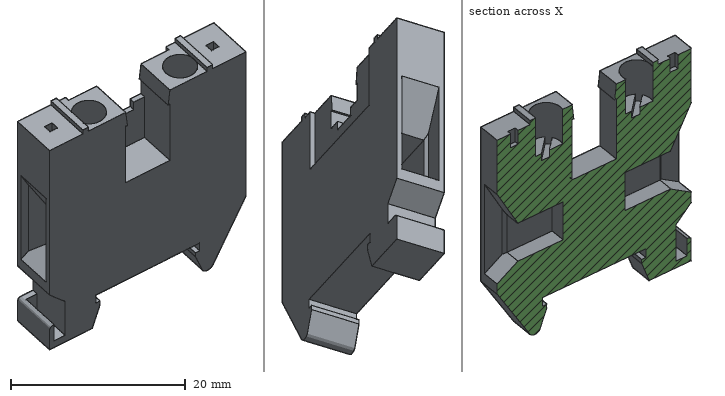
import cadquery as cq

thickness = 6.15
length = 28.0
total_height = 31.5
half_length = length / 2

rib_height = 0.6
rib_width = 0.8
rib_offset = 8.85
body_top = total_height - rib_height

shoulder_z = 8.5
rail_roof_z = 4.85
lip_top_z = 3.65
lip_bottom_z = 3.05
rail_half_width = 7.4
lip_half_width = 6.8
foot_inner_y = -7.9
foot_top_z = 3.55
foot_fillet = 0.5
release_y = -11.8
release_top_z = 6.3
tip_outer = (9.3, 0.45)
tip_bottom = (8.55, 0.0)
tip_inner = (7.8, 0.4)

groove_wall = 0.8
foot_lip_width = 0.65
groove_floor_z = 1.05

recess_depth = 0.6
recess_half_length = 7.15
recess_floor_z = 22.9

gap_half_width = 3.15
gap_lip_half_width = 2.9
gap_lip_z = 28.7
gap_wall_top_z = 26.3
notch_half_width = 1.6
notch_floor_z = 25.15
gap_wall_inner_x = 1.3
gap_floor_z = 20.0

screw_x = 3.6
screw_offset = 6.5
screw_diameter = 4.0
screw_head_depth = 5.0
screw_slot_width = 0.8
screw_slot_depth = 1.0
screw_slot_angle = -45

socket_size = 1.05
socket_offset = 11.5
socket_depth = 2.0

entry_x_min = 0.65
entry_x_max = 5.45
entry_z_min = 10.0
entry_z_max = 23.0
throat_x_min = 2.0
throat_x_max = 5.1
throat_z_min = 11.9
throat_z_max = 17.35
funnel_depth = 3.0
near_taper_start = 1.1
far_taper_start = 2.55
entry_depth = half_length - screw_offset + screw_diameter / 2


def extrude_yz(outline, x_start, x_end):
    """Extrude a closed YZ outline between two X positions."""
    return outline.close().extrude(x_end - x_start).translate((x_start, 0, 0))


def make_body():
    outline = (
        cq.Workplane("YZ")
        .moveTo(half_length, body_top)
        .lineTo(half_length, shoulder_z)
        .lineTo(*tip_outer)
        .threePointArc(tip_bottom, tip_inner)
        .lineTo(lip_half_width, lip_bottom_z)
        .lineTo(lip_half_width, lip_top_z)
        .lineTo(rail_half_width, lip_top_z)
        .lineTo(rail_half_width, rail_roof_z)
        .lineTo(-rail_half_width, rail_roof_z)
        .lineTo(-rail_half_width, lip_top_z)
        .lineTo(-lip_half_width, lip_top_z)
        .lineTo(-lip_half_width, lip_bottom_z)
        .lineTo(foot_inner_y, 0)
        .lineTo(-half_length, 0)
        .lineTo(-half_length, foot_top_z - foot_fillet)
        .radiusArc((-half_length + foot_fillet, foot_top_z), foot_fillet)
        .lineTo(release_y, foot_top_z)
        .lineTo(release_y, release_top_z)
        .lineTo(-half_length, shoulder_z)
        .lineTo(-half_length, body_top)
    )
    return extrude_yz(outline, 0, thickness)


def make_release_groove():
    groove_y = -half_length + foot_lip_width
    return (
        cq.Workplane("XY", origin=(groove_wall, groove_y, groove_floor_z))
        .rect(thickness - groove_wall, release_y - groove_y, centered=False)
        .extrude(foot_top_z - groove_floor_z)
    )


def make_rib(side):
    return (
        cq.Workplane("XY", origin=(thickness / 2, side * rib_offset, body_top))
        .rect(thickness, rib_width)
        .extrude(rib_height)
    )


def make_recess():
    return (
        cq.Workplane("XY", origin=(0, -recess_half_length, recess_floor_z))
        .rect(recess_depth, 2 * recess_half_length, centered=False)
        .extrude(body_top - recess_floor_z)
    )


def make_gap():
    """Gap narrowing to lips below the top, with a notched side wall and a deeper floor behind it."""
    half_outline = [
        (gap_half_width, body_top),
        (gap_lip_half_width, gap_lip_z),
        (gap_half_width, gap_lip_z),
        (gap_half_width, gap_wall_top_z),
        (notch_half_width, gap_wall_top_z),
        (notch_half_width, notch_floor_z),
    ]
    mirrored = [(-y, z) for y, z in reversed(half_outline)]
    opening = extrude_yz(cq.Workplane("YZ").polyline(half_outline + mirrored), 0, thickness)
    well = (
        cq.Workplane("XY", origin=(gap_wall_inner_x, -gap_half_width, gap_floor_z))
        .rect(thickness - gap_wall_inner_x, 2 * gap_half_width, centered=False)
        .extrude(gap_lip_z - gap_floor_z)
    )
    return opening.union(well)


def make_screw_hole(side):
    """Round hole down to the screw head, with the driver slot cut into the head."""
    head_z = body_top - screw_head_depth
    top_of_head = cq.Workplane("XY", origin=(screw_x, side * screw_offset, head_z))
    hole = top_of_head.circle(screw_diameter / 2).extrude(screw_head_depth)
    slot = (
        top_of_head.transformed(rotate=(0, 0, screw_slot_angle))
        .rect(screw_diameter, screw_slot_width)
        .extrude(-screw_slot_depth)
    )
    slot_limit = top_of_head.circle(screw_diameter / 2).extrude(-screw_slot_depth)
    return hole.union(slot.intersect(slot_limit))


def make_socket(side):
    return (
        cq.Workplane("XY", origin=(thickness / 2, side * socket_offset, body_top))
        .rect(socket_size, socket_size)
        .extrude(-socket_depth)
    )


def make_wire_entry():
    """Funnel and straight throat at the -Y end: a plan shape crossed with a side shape."""
    mouth_y = -half_length
    throat_y = mouth_y + funnel_depth
    end_y = mouth_y + entry_depth
    plan = (
        cq.Workplane("XY")
        .polyline([
            (entry_x_min, mouth_y),
            (entry_x_min, mouth_y + near_taper_start),
            (throat_x_min, throat_y),
            (throat_x_min, end_y),
            (throat_x_max, end_y),
            (throat_x_max, throat_y),
            (entry_x_max, mouth_y + far_taper_start),
            (entry_x_max, mouth_y),
        ])
        .close()
        .extrude(body_top)
    )
    side_outline = cq.Workplane("YZ").polyline([
        (mouth_y, entry_z_min),
        (throat_y, throat_z_min),
        (end_y, throat_z_min),
        (end_y, throat_z_max),
        (throat_y, throat_z_max),
        (mouth_y, entry_z_max),
    ])
    return plan.intersect(extrude_yz(side_outline, 0, thickness))


result = make_body().cut(make_release_groove()).cut(make_recess()).cut(make_gap())

wire_entry = make_wire_entry()
result = result.cut(wire_entry).cut(wire_entry.mirror("XZ"))

for end in (-1, 1):
    result = result.union(make_rib(end))
    result = result.cut(make_screw_hole(end))
    result = result.cut(make_socket(end))